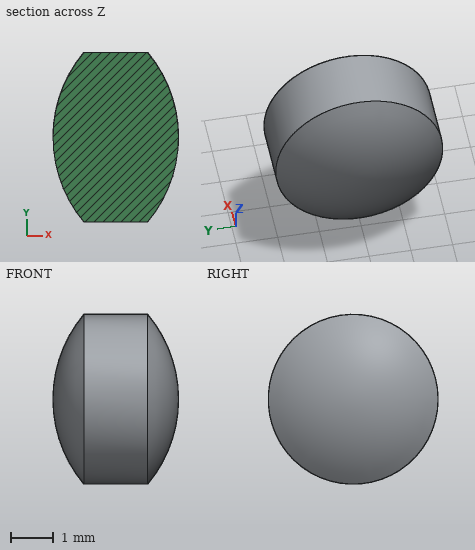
import cadquery as cq

diameter = 4.0
thickness = 2.96
rim_width = 1.5

radius = diameter / 2
half_rim = rim_width / 2
half_thickness = thickness / 2
cap_height = half_thickness - half_rim
cap_radius = (radius**2 + cap_height**2) / (2 * cap_height)

arc_mid_y = radius / 2
arc_mid_x = half_thickness - cap_radius + (cap_radius**2 - arc_mid_y**2) ** 0.5

profile = (
    cq.Workplane("XY")
    .moveTo(-half_thickness, 0)
    .threePointArc((-arc_mid_x, arc_mid_y), (-half_rim, radius))
    .lineTo(half_rim, radius)
    .threePointArc((arc_mid_x, arc_mid_y), (half_thickness, 0))
    .close()
)

result = profile.revolve(360, (0, 0, 0), (1, 0, 0))